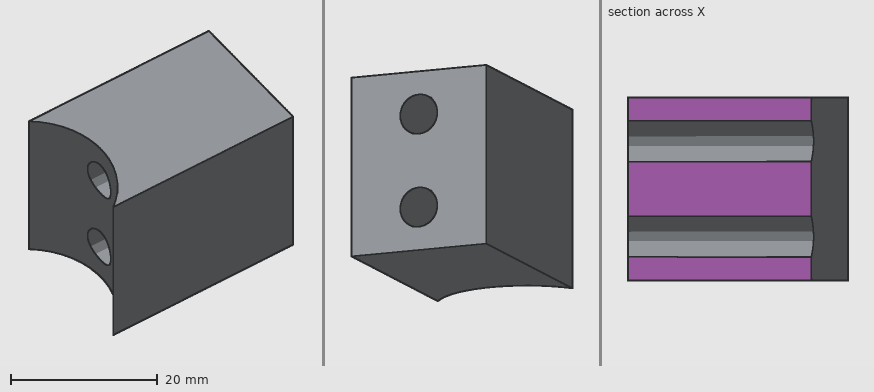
import cadquery as cq

width = 20.0
length = 30.0
height = 25.0

saddle_depth = 5.0

hole_diameter = 5.5
hole_edge_distance = 6.0
hole_spacing = height - 2 * hole_edge_distance


def saddle_block():
    """Rectangular block with a full-height arc cut into its -Y face."""
    half_width = width / 2
    return (
        cq.Workplane("XY")
        .moveTo(-half_width, 0)
        .threePointArc((0, saddle_depth), (half_width, 0))
        .lineTo(half_width, length)
        .lineTo(-half_width, length)
        .close()
        .extrude(height)
    )


def through_holes():
    """Cylinders running the whole length of the block, one above the other."""
    return (
        cq.Workplane("XZ", origin=(0, 0, height / 2))
        .rarray(1, hole_spacing, 1, 2)
        .circle(hole_diameter / 2)
        .extrude(-length)
    )


result = saddle_block().cut(through_holes())